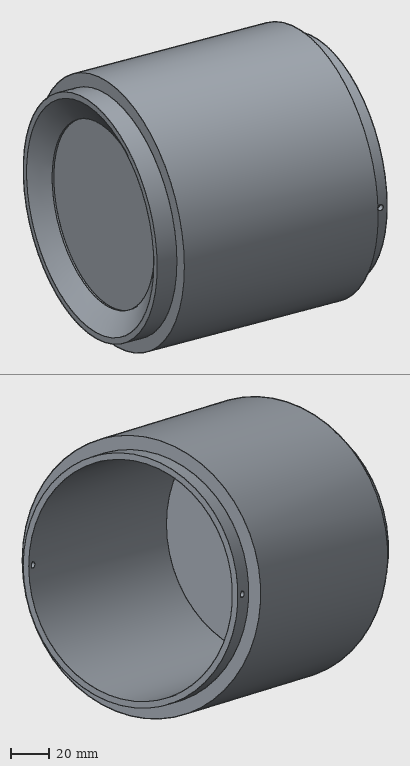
import cadquery as cq

length = 140.0
sleeve_radius = 75.0
liner_radius = 67.5
bore_radius = 64.0
front_step = 12.0
rear_step = 10.0

window_opening_radius = 51.5
cone_depth = 8.0
lip_length = 1.0
window_thickness = 3.0

cross_hole_diameter = 3.3
cross_hole_inset = 4.0

front_y = -length / 2
rear_y = length / 2
cone_end_y = front_y + cone_depth
window_y = cone_end_y + lip_length


def cylinder(radius, start_y, end_y):
    """Solid cylinder on the Y axis between two Y positions."""
    base = cq.Workplane("XZ", origin=(0, start_y, 0))
    return base.circle(radius).extrude(start_y - end_y)


def make_sleeve():
    """Thick outer tube around the liner."""
    start_y = front_y + front_step
    end_y = rear_y - rear_step
    return cylinder(sleeve_radius, start_y, end_y).cut(cylinder(liner_radius, start_y, end_y))


def make_liner():
    """Thin full-length tube with a small hole through both walls at the rear."""
    tube = cylinder(liner_radius, front_y, rear_y).cut(cylinder(bore_radius, front_y, rear_y))
    cross_hole = (
        cq.Workplane("YZ", origin=(0, rear_y - cross_hole_inset, 0))
        .circle(cross_hole_diameter / 2)
        .extrude(liner_radius, both=True)
    )
    return tube.cut(cross_hole)


def make_cone_ring():
    """Ring in the front of the liner whose opening narrows toward the window."""
    profile = [
        (bore_radius, front_y),
        (window_opening_radius, cone_end_y),
        (window_opening_radius, window_y),
        (bore_radius, window_y),
    ]
    return cq.Workplane("XY").polyline(profile).close().revolve(360, (0, 0, 0), (0, 1, 0))


def make_window():
    """Flat disc seated against the back of the cone ring."""
    return cylinder(bore_radius, window_y, window_y + window_thickness)


sleeve = make_sleeve()
liner = make_liner()
cone_ring = make_cone_ring()
window = make_window()

result = cq.Compound.makeCompound([sleeve.val(), liner.val(), cone_ring.val(), window.val()])